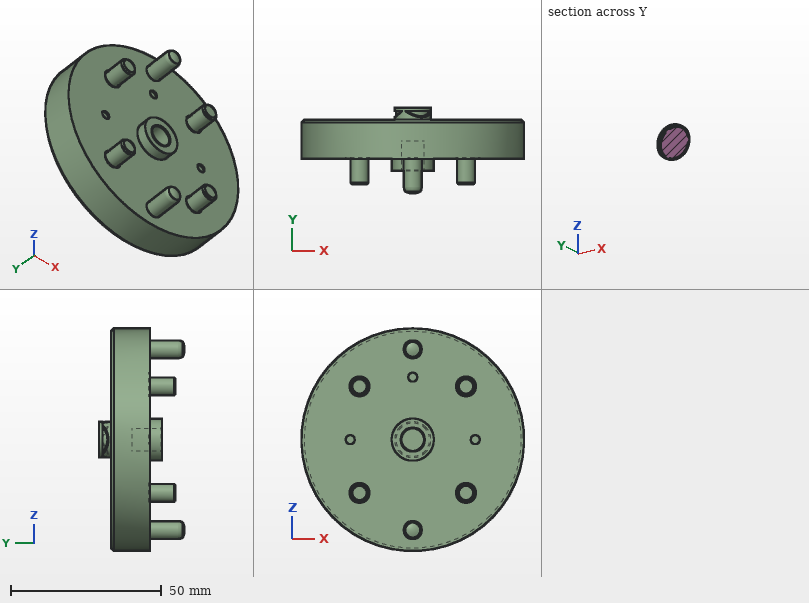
import cadquery as cq
import math


disc_diameter = 74.0
disc_thickness = 13.0
disc_chamfer = 1.0

boss_diameter = 14.0
boss_height = 4.0
bore_mouth_diameter = 8.0
bore_mouth_depth = 0.3
bore_diameter = 7.5
bore_depth = 10.0

hub_diameter = 12.0
hub_height = 4.0
notch_count = 3
notch_first_angle = 60.0
notch_radial_depth = 0.45
notch_rim = 1.2
notch_reach = 3.2
ramp_angle = 40.0

pin_diameter = 6.0
dowel_length = 11.5
dowel_pitch_radius = 30.0
dowel_angles = (90.0, 270.0)
dowel_shank_length = 9.4
dowel_tip_diameter = 5.0
dowel_dome_height = 0.65

short_pin_length = 8.5
short_pin_chamfer = 0.6
short_pin_pitch_radius = 25.0
short_pin_count = 4
short_pin_first_angle = 45.0
recess_diameter = 6.6
recess_depth = 0.5

small_hole_diameter = 3.0
small_hole_depth = 0.5
small_hole_pitch_radius = 20.75
small_hole_angles = (0.0, 90.0, 180.0)

hub_end = disc_thickness + hub_height


def on_circle(radius, angle):
    """X and Z of a point on a circle about the part axis, angle measured from +X toward +Z."""
    turn = math.radians(angle)
    return radius * math.cos(turn), radius * math.sin(turn)


def cylinder(diameter, y_start, y_end, center=(0.0, 0.0)):
    """Round bar parallel to Y between two Y positions."""
    x, z = center
    base = cq.Vector(x, y_start, z)
    return cq.Workplane(cq.Solid.makeCylinder(diameter / 2, y_end - y_start, base, cq.Vector(0, 1, 0)))


def make_body():
    """Disc with its back edge chamfered, the front boss and the back hub."""
    disc = cylinder(disc_diameter, 0, disc_thickness).faces(">Y").chamfer(disc_chamfer)
    boss = cylinder(boss_diameter, -boss_height, 0)
    hub = cylinder(hub_diameter, disc_thickness, hub_end)
    return disc.union(boss).union(hub)


def make_bore():
    """Blind bore from the boss face, slightly wider at its mouth."""
    bore = cylinder(bore_diameter, -boss_height, bore_depth - boss_height)
    mouth = cylinder(bore_mouth_diameter, -boss_height, bore_mouth_depth - boss_height)
    return bore.union(mouth)


def make_notch(angle):
    """Notch in the hub wall: a flat upper side, a round floor and a sloping ramp."""
    hub_radius = hub_diameter / 2
    margin = 1.0
    top = hub_end - notch_rim
    ramp_height = notch_reach - notch_rim
    ramp_run = ramp_height / math.tan(math.radians(ramp_angle))
    margin_drop = margin * math.tan(math.radians(ramp_angle))
    wedge = (
        cq.Workplane("XY")
        .moveTo(hub_radius - ramp_run, top)
        .lineTo(hub_radius + margin, top)
        .lineTo(hub_radius + margin, top - ramp_height - margin_drop)
        .close()
        .extrude(hub_radius, both=True)
    )
    core = cylinder(hub_diameter - 2 * notch_radial_depth, disc_thickness, hub_end)
    outer = cylinder(hub_diameter, disc_thickness, hub_end)
    return wedge.intersect(outer).cut(core).rotate((0, 0, 0), (0, 1, 0), -angle)


def make_dowel(center):
    """Dowel turned from a half profile: shank, rounded shoulder and domed end."""
    pin_radius = pin_diameter / 2
    tip_radius = dowel_tip_diameter / 2
    dome_start = dowel_length - dowel_dome_height
    dome_radius = (tip_radius**2 + dowel_dome_height**2) / (2 * dowel_dome_height)
    half_sweep = math.asin(tip_radius / dome_radius) / 2
    dome_middle = (
        dome_radius * math.sin(half_sweep),
        -(dowel_length - dome_radius * (1 - math.cos(half_sweep))),
    )
    x, z = center
    return (
        cq.Workplane("XY")
        .lineTo(pin_radius, 0)
        .lineTo(pin_radius, -dowel_shank_length)
        .tangentArcPoint((tip_radius, -dome_start), relative=False)
        .threePointArc(dome_middle, (0, -dowel_length))
        .close()
        .revolve(360, (0, 0, 0), (0, 1, 0))
        .translate((x, 0, z))
    )


def make_short_pin(center):
    """Flat-ended pin with a chamfered tip, rooted in the floor of its recess."""
    pin = cylinder(pin_diameter, -short_pin_length, recess_depth, center)
    return pin.faces("<Y").chamfer(short_pin_chamfer)


result = make_body().cut(make_bore())

for index in range(notch_count):
    result = result.cut(make_notch(notch_first_angle + index * 360 / notch_count))

for angle in small_hole_angles:
    hole_center = on_circle(small_hole_pitch_radius, angle)
    result = result.cut(cylinder(small_hole_diameter, 0, small_hole_depth, hole_center))

for angle in dowel_angles:
    result = result.union(make_dowel(on_circle(dowel_pitch_radius, angle)))

for index in range(short_pin_count):
    pin_angle = short_pin_first_angle + index * 360 / short_pin_count
    pin_center = on_circle(short_pin_pitch_radius, pin_angle)
    result = result.cut(cylinder(recess_diameter, 0, recess_depth, pin_center))
    result = result.union(make_short_pin(pin_center))